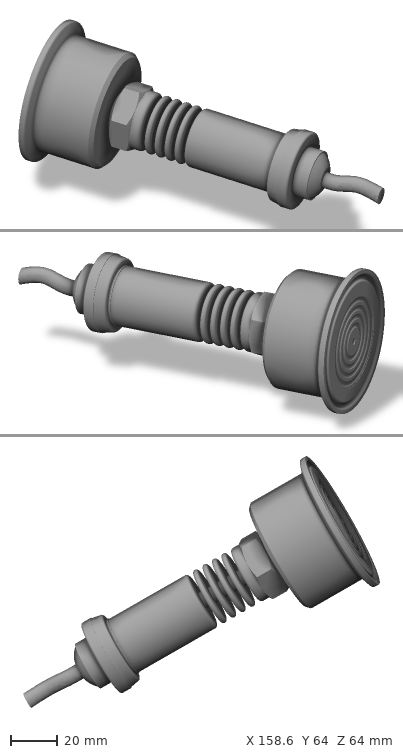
import cadquery as cq
import math


quarter_arc_mid = math.sin(math.radians(45))

flange_radius = 32.0
flange_rim_width = 2.7
flange_rim_fillet = 1.0
flange_root_fillet = 0.5
flange_back_angle = 20.0
drum_radius = 26.5
drum_end = 32.5
drum_chamfer = 1.7
gasket_groove_inner_radius = 26.3
gasket_groove_outer_radius = 30.6
gasket_lip_width = 1.0
gasket_groove_depth = 1.6
membrane_radius = 20.8
membrane_step = 0.2
wave_count = 4
wave_pitch = 3.8
wave_width = 2.4
wave_depth = 0.5
first_wave_inner_radius = 6.2
centre_dimple_diameter = 3.0
centre_dimple_floor_diameter = 2.0

neck_radius = 18.5 / 2
neck_straight_end = 33.5
neck_flare_radius = 9.8
hex_start = 34.5
hex_end = 44.2
hex_across_flats = 27.0
hex_face_radius = 13.3
hex_chamfer_angle = 30.0
tube_radius = 26.5 / 2
collar_end = 48.8
edge_fillet = 1.5
stem_radius = 7.5 / 2
stub_end = 50.8

fin_count = 4
fin_thickness = 2.4
fin_pitch = 4.8
first_fin_start = collar_end + fin_thickness
sleeve_start = first_fin_start + fin_count * fin_pitch
sleeve_end = 110.2
bead_radius = 27.3 / 2
bead_width = 0.5
spigot_radius = 26.8 / 2

nut_start = 111.3
nut_step = 116.5
nut_end = 121.5
nut_radius = 17.6
nut_taper_start_radius = 16.3
nut_taper_end_radius = 17.3
nut_fillet = 1.0
gland_radius = 22.4 / 2
gland_shoulder = 128.1
dome_base_radius = 21.0 / 2
dome_end = 132.0
dome_end_radius = 5.0
dome_bulge = 0.5
cable_diameter = 7.1
cable_end = 158.6
cable_start_z = -1.0
cable_crest_x = 148.5
cable_crest_z = 2.4
cable_overrun = 4.8
cable_start_dip = 0.1
cable_tail_slope = 0.4
cable_overrun_drop = 1.7


def revolve_about_x(profile):
    """Closed XY profile with Y as radius, turned about the X axis."""
    return profile.close().revolve(360, (0, 0, 0), (1, 0, 0))


def disc(start, end, radius):
    return cq.Workplane("YZ", origin=(start, 0, 0)).circle(radius).extrude(end - start)


def make_gasket_groove():
    """Round-bottomed ring with rounded lips, sunk into the flange face."""
    r = (gasket_groove_inner_radius + gasket_groove_outer_radius) / 2
    outer = gasket_groove_outer_radius - r
    bowl = outer - gasket_lip_width
    lip_depth = gasket_groove_depth / 2

    lip_mid = outer - quarter_arc_mid * gasket_lip_width
    lip_mid_depth = (1 - quarter_arc_mid) * lip_depth
    bowl_mid = quarter_arc_mid * bowl
    bowl_mid_depth = lip_depth + quarter_arc_mid * (gasket_groove_depth - lip_depth)
    profile = (
        cq.Workplane("XY")
        .moveTo(0, r - outer)
        .threePointArc((lip_mid_depth, r - lip_mid), (lip_depth, r - bowl))
        .threePointArc((bowl_mid_depth, r - bowl_mid), (gasket_groove_depth, r))
        .threePointArc((bowl_mid_depth, r + bowl_mid), (lip_depth, r + bowl))
        .threePointArc((lip_mid_depth, r + lip_mid), (0, r + outer))
    )
    return revolve_about_x(profile)


def make_membrane_recess():
    """Shallow round recess whose floor carries concentric concave waves."""
    profile = cq.Workplane("XY").lineTo(membrane_step, 0)
    for i in range(wave_count):
        inner = first_wave_inner_radius + i * wave_pitch
        profile = profile.lineTo(membrane_step, inner).threePointArc(
            (membrane_step + wave_depth, inner + wave_width / 2),
            (membrane_step, inner + wave_width),
        )
    profile = profile.lineTo(membrane_step, membrane_radius).lineTo(0, membrane_radius)
    return revolve_about_x(profile)


def make_centre_dimple():
    top = centre_dimple_diameter / 2
    floor = centre_dimple_floor_diameter / 2
    floor_x = membrane_step + top - floor
    profile = (
        cq.Workplane("XY")
        .lineTo(floor_x, 0)
        .lineTo(floor_x, floor)
        .lineTo(membrane_step, top)
        .lineTo(0, top)
    )
    return revolve_about_x(profile)


def make_housing():
    cone_length = (flange_radius - drum_radius) * math.tan(math.radians(flange_back_angle))
    cone_end = flange_rim_width + cone_length
    profile = cq.Workplane("XY").polyline([
        (0, 0),
        (0, flange_radius),
        (flange_rim_width, flange_radius),
        (cone_end, drum_radius),
        (drum_end - drum_chamfer, drum_radius),
        (drum_end, drum_radius - drum_chamfer),
        (drum_end, 0),
    ])
    housing = revolve_about_x(profile)

    rim = housing.edges(cq.selectors.NearestToPointSelector((flange_rim_width, 0, 0)))
    housing = rim.fillet(flange_rim_fillet)
    root = housing.edges(cq.selectors.NearestToPointSelector((cone_end, 0, 0)))
    housing = root.fillet(flange_root_fillet)
    return housing.cut(make_gasket_groove()).cut(make_membrane_recess()).cut(make_centre_dimple())


def make_hexagon():
    """Hexagon with corners on +Z and -Z, both ends turned to a cone."""
    corner_diameter = hex_across_flats / math.cos(math.pi / 6)
    corner_radius = corner_diameter / 2
    chamfer = (corner_radius - hex_face_radius) * math.tan(math.radians(hex_chamfer_angle))
    prism = (
        cq.Workplane("YZ", origin=(hex_start, 0, 0))
        .transformed(rotate=(0, 0, 90))
        .polygon(6, corner_diameter)
        .extrude(hex_end - hex_start)
    )
    envelope = revolve_about_x(cq.Workplane("XY").polyline([
        (hex_start, 0),
        (hex_start, hex_face_radius),
        (hex_start + chamfer, corner_radius),
        (hex_end - chamfer, corner_radius),
        (hex_end, hex_face_radius),
        (hex_end, 0),
    ]))
    return prism.intersect(envelope)


def make_hex_adapter():
    neck = revolve_about_x(cq.Workplane("XY").polyline([
        (drum_end, 0),
        (drum_end, neck_radius),
        (neck_straight_end, neck_radius),
        (hex_start, neck_flare_radius),
        (hex_start, 0),
    ]))
    collar = disc(hex_end, collar_end, tube_radius).faces(">X").edges().fillet(edge_fillet)
    stub = disc(collar_end, stub_end, stem_radius)
    return make_hexagon().union(neck).union(collar).union(stub)


def make_fin(start):
    """Disc with a fully rounded rim, two quarter arcs meeting at the crest."""
    half = fin_thickness / 2
    crest = (start + half, tube_radius)
    arc_rise = quarter_arc_mid * half
    mid_radius = tube_radius - half + arc_rise
    profile = (
        cq.Workplane("XY")
        .moveTo(start, 0)
        .lineTo(start, tube_radius - half)
        .threePointArc((start + half - arc_rise, mid_radius), crest)
        .threePointArc((start + half + arc_rise, mid_radius), (start + fin_thickness, tube_radius - half))
        .lineTo(start + fin_thickness, 0)
    )
    return revolve_about_x(profile)


def make_cooling_body():
    body = disc(stub_end, sleeve_start, stem_radius)
    for i in range(fin_count):
        body = body.union(make_fin(first_fin_start + i * fin_pitch))
    sleeve = disc(sleeve_start, sleeve_end, tube_radius).faces("<X").edges().fillet(edge_fillet)
    bead = disc(sleeve_end, sleeve_end + bead_width, bead_radius)
    spigot = disc(sleeve_end + bead_width, nut_start, spigot_radius)
    return body.union(sleeve).union(bead).union(spigot)


def make_union_nut():
    profile = cq.Workplane("XY").polyline([
        (nut_start, 0),
        (nut_start, nut_taper_start_radius),
        (nut_step, nut_taper_end_radius),
        (nut_step, nut_radius),
        (nut_end, nut_radius),
        (nut_end, 0),
    ])
    return revolve_about_x(profile).faces("<X or >X").edges().fillet(nut_fillet)


def make_gland():
    """Short cylinder closed by a shouldered dome with a flat end."""
    length = dome_end - gland_shoulder
    drop = dome_base_radius - dome_end_radius
    chord = math.hypot(length, drop)
    dome_mid = (
        gland_shoulder + length / 2 + dome_bulge * drop / chord,
        dome_end_radius + drop / 2 + dome_bulge * length / chord,
    )
    profile = (
        cq.Workplane("XY")
        .moveTo(nut_end, 0)
        .lineTo(nut_end, gland_radius)
        .lineTo(gland_shoulder, gland_radius)
        .lineTo(gland_shoulder, dome_base_radius)
        .threePointArc(dome_mid, (dome_end, dome_end_radius))
        .lineTo(dome_end, 0)
    )
    return revolve_about_x(profile)


def make_cable():
    """Round cable bent in the XZ plane, touching the gland end and cut square to X."""
    path = cq.Workplane("XZ").spline(
        [
            (dome_end, cable_start_z),
            (cable_crest_x, cable_crest_z),
            (cable_end, 0),
            (cable_end + cable_overrun, -cable_overrun_drop),
        ],
        tangents=[(1, -cable_start_dip), (1, -cable_tail_slope)],
    )
    cable = (
        cq.Workplane("YZ", origin=(dome_end, 0, cable_start_z))
        .circle(cable_diameter / 2)
        .sweep(path)
    )
    return cable.intersect(disc(dome_end, cable_end, tube_radius))


housing = make_housing()
hex_adapter = make_hex_adapter()
cooling_body = make_cooling_body()
union_nut = make_union_nut()
gland = make_gland()
cable = make_cable()

result = cq.Compound.makeCompound([
    housing.val(),
    hex_adapter.val(),
    cooling_body.val(),
    union_nut.val(),
    gland.val(),
    cable.val(),
])